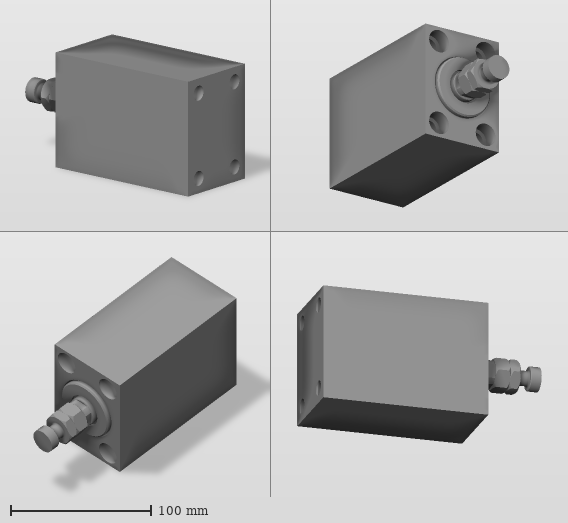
import cadquery as cq
import math

total_length = 170.0
block_width = 63.0
block_height = 85.0
block_front_x = 47.0
block_length = total_length - block_front_x

hole_spacing_y = 40.0
hole_spacing_z = 63.0
hole_diameter = 11.0
counterbore_diameter = 17.0
counterbore_depth = 11.9

gland_diameter = 45.0
gland_front_x = 43.9
gland_chamfer = 1.0
gland_seat_depth = 30.0
gland_seat_x = block_front_x + gland_seat_depth
bore_chamfer = 1.0
wiper_recess_diameter = 25.2
wiper_recess_depth = 2.0

rod_diameter = 22.1
rod_chamfer = 0.5
rod_shoulder_x = 41.1
rod_end_diameter = rod_diameter - 2 * rod_chamfer
flats_width = 18.0

head_diameter = 18.0
head_length = 7.8
head_chamfer = 0.5
neck_diameter = 11.0
neck_fillet = 1.0
hex_across_flats = 22.1
hex_corner_diameter = hex_across_flats / math.cos(math.pi / 6)
hex_chamfer = (hex_corner_diameter - hex_across_flats) / 2
front_hex_x = 16.0
rear_hex_x = 23.6
coupling_end_x = 35.0


def cylinder(diameter, start_x, end_x):
    """Solid cylinder on the X axis."""
    return cq.Workplane("YZ", origin=(start_x, 0, 0)).circle(diameter / 2).extrude(end_x - start_x)


def chamfered_hex(start_x, end_x):
    """Hexagon with flats facing +Z and -Z, its corners turned off at 45 degrees at both ends."""
    length = end_x - start_x
    prism = (
        cq.Workplane("YZ", origin=(start_x, 0, 0)).polygon(6, hex_corner_diameter).extrude(length)
    )
    envelope = cylinder(hex_corner_diameter, start_x, end_x).faces("<X or >X").chamfer(hex_chamfer)
    return prism.intersect(envelope)


def make_block():
    block = (
        cq.Workplane("YZ", origin=(block_front_x, 0, 0))
        .rect(block_width, block_height)
        .extrude(block_length)
    )
    block = block.cut(cylinder(gland_diameter, block_front_x, gland_seat_x))
    block = block.faces("<X").edges("%CIRCLE").chamfer(bore_chamfer)
    return (
        block.faces("<X")
        .workplane(origin=(block_front_x, 0, 0))
        .rect(hole_spacing_y, hole_spacing_z, forConstruction=True)
        .vertices()
        .cboreHole(hole_diameter, counterbore_diameter, counterbore_depth)
    )


def make_gland():
    gland = cylinder(gland_diameter, gland_front_x, gland_seat_x).faces("<X").chamfer(gland_chamfer)
    rod_bore = cylinder(rod_diameter, gland_front_x, gland_seat_x)
    wiper_recess = cylinder(wiper_recess_diameter, gland_front_x, gland_front_x + wiper_recess_depth)
    return gland.cut(rod_bore).cut(wiper_recess)


def make_rod():
    rod = cylinder(rod_diameter, rod_shoulder_x, gland_seat_x).faces("<X").chamfer(rod_chamfer)
    square = (
        cq.Workplane("YZ", origin=(coupling_end_x, 0, 0))
        .rect(flats_width, flats_width)
        .extrude(rod_shoulder_x - coupling_end_x)
    )
    rod_end = cylinder(rod_end_diameter, coupling_end_x, rod_shoulder_x).intersect(square)
    return rod.union(rod_end)


def make_coupling():
    head = cylinder(head_diameter, 0, head_length).faces(">X").chamfer(head_chamfer)
    neck = cylinder(neck_diameter, head_length, front_hex_x)
    front_hex = chamfered_hex(front_hex_x, rear_hex_x)
    rear_hex = chamfered_hex(rear_hex_x, coupling_end_x)
    shank = head.union(neck).union(front_hex)
    shank = shank.edges(cq.selectors.RadiusNthSelector(0)).fillet(neck_fillet)
    return shank.union(rear_hex)


block = make_block()
gland = make_gland()
rod = make_rod()
coupling = make_coupling()

result = cq.Compound.makeCompound([block.val(), gland.val(), rod.val(), coupling.val()])